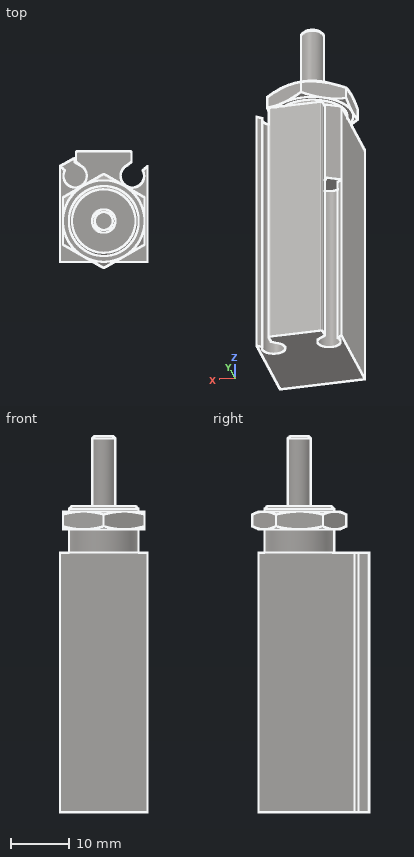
import cadquery as cq
import math

housing_width = 15.0
housing_height = 44.5
front_y = -7.0
back_y = 12.0
shoulder_y = 9.4
tongue_width = 9.55
tongue_edge_y = 10.1
tongue_fillet = 0.3

slot_diameter = 4.0
slot_x = 4.9
slot_y = 7.75
inner_lip_angle = 118.0
outer_lip_angle = 28.0

collar_diameter = 12.0
collar_height = 8.0
collar_tip_diameter = 10.9
collar_chamfer = (collar_diameter - collar_tip_diameter) / 2

nut_across_flats = 14.0
half_corner_angle = 30.0
nut_thickness = 3.0
nut_clearance = 4.0
nut_corner_diameter = nut_across_flats / math.cos(math.radians(half_corner_angle))
nut_chamfer_diameter = nut_across_flats
nut_chamfer_angle = 25.0

rod_diameter = 4.0
rod_length = 12.0
rod_chamfer = 0.45

sensor_length = 14.2
sensor_edge_y = 10.85
sensor_gap = 0.2

half_width = housing_width / 2
half_tongue = tongue_width / 2
collar_top = housing_height + collar_height


def on_slot(angle):
    """Point on the right-hand slot circle at an angle in degrees."""
    turn = math.radians(angle)
    radius = slot_diameter / 2
    return (slot_x + radius * math.cos(turn), slot_y + radius * math.sin(turn))


def make_slot_profile(mouth_points):
    """Right-hand slot outline: the round bottom closed through the mouth points."""
    bottom_angle = (inner_lip_angle + 360 + outer_lip_angle) / 2
    profile = cq.Workplane("XY").moveTo(*on_slot(inner_lip_angle))
    profile = profile.threePointArc(on_slot(bottom_angle), on_slot(outer_lip_angle))
    for point in mouth_points:
        profile = profile.lineTo(*point)
    return profile.close()


def make_housing():
    block = cq.Workplane("XY").box(
        housing_width, back_y - front_y, housing_height, centered=(True, False, False)
    ).translate((0, front_y, 0))
    mouth = [
        (half_width, shoulder_y),
        (half_width, back_y),
        (half_tongue, back_y),
        (half_tongue, tongue_edge_y),
    ]
    slot = make_slot_profile(mouth).extrude(housing_height)
    block = block.cut(slot).cut(slot.mirror("YZ"))
    block = block.edges("|Z and >Y").fillet(tongue_fillet)
    collar = (
        cq.Workplane("XY", origin=(0, 0, housing_height))
        .circle(collar_diameter / 2)
        .extrude(collar_height)
        .faces(">Z")
        .chamfer(collar_chamfer)
    )
    return block.union(collar)


def make_nut():
    """Hexagon with two corners on the Y axis, both ends turned to a shallow cone."""
    hexagon = (
        cq.Workplane("XY")
        .polygon(6, nut_corner_diameter)
        .extrude(nut_thickness)
        .rotate((0, 0, 0), (0, 0, 1), half_corner_angle)
    )
    corner_radius = nut_corner_diameter / 2
    end_radius = nut_chamfer_diameter / 2
    drop = (corner_radius - end_radius) * math.tan(math.radians(nut_chamfer_angle))
    turned_blank = (
        cq.Workplane("XZ")
        .moveTo(collar_diameter / 2, 0)
        .lineTo(end_radius, 0)
        .lineTo(corner_radius, drop)
        .lineTo(corner_radius, nut_thickness - drop)
        .lineTo(end_radius, nut_thickness)
        .lineTo(collar_diameter / 2, nut_thickness)
        .close()
        .revolve(360, (0, 0, 0), (0, 1, 0))
    )
    nut_bottom = housing_height + nut_clearance
    return hexagon.intersect(turned_blank).translate((0, 0, nut_bottom))


def make_rod():
    return (
        cq.Workplane("XY", origin=(0, 0, collar_top))
        .circle(rod_diameter / 2)
        .extrude(rod_length)
        .faces(">Z")
        .chamfer(rod_chamfer)
    )


def make_sensor():
    """Fills the top of the left slot; its sloping outer face spans the mouth."""
    mouth = [
        (half_width, shoulder_y),
        (half_tongue + sensor_gap, sensor_edge_y),
        (half_tongue + sensor_gap, tongue_edge_y),
    ]
    sensor = make_slot_profile(mouth).extrude(sensor_length).mirror("YZ")
    return sensor.translate((0, 0, housing_height - sensor_length))


housing = make_housing()
nut = make_nut()
rod = make_rod()
sensor = make_sensor()

result = cq.Compound.makeCompound([housing.val(), nut.val(), rod.val(), sensor.val()])